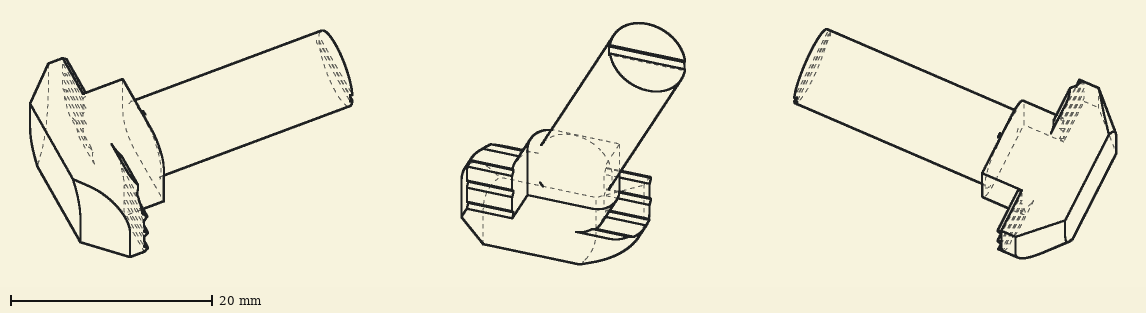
import cadquery as cq

total_length = 30.7
head_width = 19.4
height = 8.5
half_height = height / 2

head_depth = 5.28
head_chamfer = 3.7
head_corner_radius = half_height

ridge_height = 0.43
ridge_half_width = 0.43
ridge_pitch = 2.55
ridge_count = 4

neck_width = 9.75
neck_end = 9.65
neck_corner_radius = 2.98

shank_radius = 4.02
shank_fillet = 0.28
slot_width = 1.0
slot_depth = 0.25


def rounded_bar(width, corner_radius, start, end):
    """Bar along Y with its +X+Z and -X-Z edges rounded and the other two square."""
    half_width = width / 2
    bar = cq.Workplane("XY").box(width, end - start, height).translate((0, (start + end) / 2, 0))
    for side in (-1, 1):
        corner = (side * half_width, (start + end) / 2, side * half_height)
        bar = bar.edges(cq.NearestToPointSelector(corner)).fillet(corner_radius)
    return bar


def chamfer_half_outline():
    """Outline of the +X half of the head, with its front corner cut at 45 degrees."""
    half_width = head_width / 2
    back = head_depth + ridge_height
    return (
        cq.Workplane("XY")
        .lineTo(half_width - head_chamfer, 0)
        .lineTo(half_width, head_chamfer)
        .lineTo(half_width, back)
        .lineTo(0, back)
        .close()
    )


def chamfer_envelope():
    """Limits of the head: conical at the rounded corners, flat at the square ones."""
    cone = chamfer_half_outline().revolve(360, (0, 0, 0), (0, 1, 0))
    right_lower = chamfer_half_outline().extrude(-half_height)
    left_upper = right_lower.rotate((0, 0, 0), (0, 1, 0), 180)
    return cone.union(right_lower).union(left_upper)


def make_ridge(z):
    """Triangular ridge running along X across the back of the head."""
    return (
        cq.Workplane("YZ")
        .moveTo(head_depth, z - ridge_half_width)
        .lineTo(head_depth + ridge_height, z)
        .lineTo(head_depth, z + ridge_half_width)
        .close()
        .extrude(head_width / 2, both=True)
    )


def make_head():
    """Chamfered T head; the ridges follow its rounded outline."""
    head = rounded_bar(head_width, head_corner_radius, 0, head_depth)
    outline = rounded_bar(head_width, head_corner_radius, 0, head_depth + ridge_height)
    for index in range(ridge_count):
        z = (index - (ridge_count - 1) / 2) * ridge_pitch
        head = head.union(make_ridge(z).intersect(outline))
    return head.intersect(chamfer_envelope())


def make_shank():
    """Round shank with a concave fillet at the neck and a slot along X in its free end."""
    flare_radius = shank_radius + shank_fillet
    fillet_end = neck_end + shank_fillet
    shank = (
        cq.Workplane("XY")
        .moveTo(0, neck_end)
        .lineTo(flare_radius, neck_end)
        .radiusArc((shank_radius, fillet_end), shank_fillet)
        .lineTo(shank_radius, total_length)
        .lineTo(0, total_length)
        .close()
        .revolve(360, (0, 0, 0), (0, 1, 0))
    )
    slab = cq.Workplane("XY").box(2 * flare_radius, 2 * total_length, height)
    slot = (
        cq.Workplane("XY")
        .box(2 * shank_radius, slot_depth, slot_width)
        .translate((0, total_length - slot_depth / 2, 0))
    )
    return shank.intersect(slab).cut(slot)


neck = rounded_bar(neck_width, neck_corner_radius, head_chamfer, neck_end)
result = make_head().union(neck).union(make_shank())